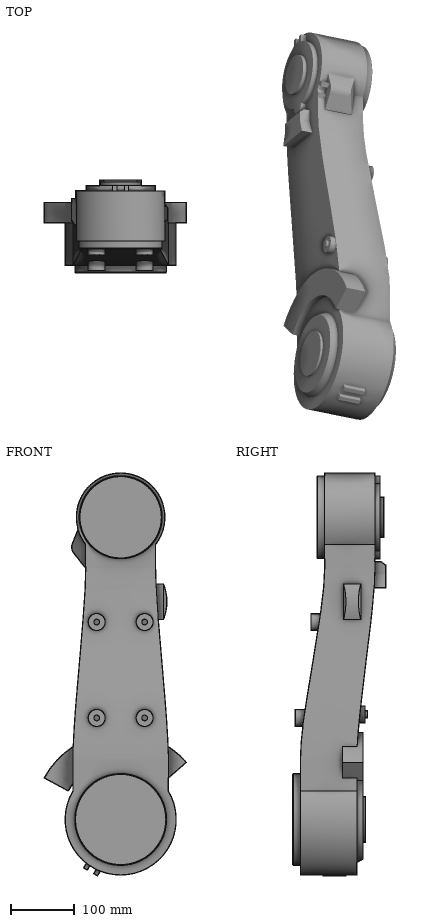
import cadquery as cq
import math


JOINT_SPACING = 475.0
LOWER_RADIUS, LOWER_DEPTH = 87.5, 88.5
UPPER_RADIUS, UPPER_DEPTH = 69.5, 79.0
UPPER_FRONT = 38.0
LOWER_BACK = LOWER_DEPTH
UPPER_BACK = UPPER_FRONT + UPPER_DEPTH

CAP_DEPTH = 12.0
CAP_EDGE = 1.0
LOWER_CAP_RADIUS, UPPER_CAP_RADIUS = 72.0, 65.0

LOWER_FLANGE_DEPTH, UPPER_FLANGE_DEPTH = 10.0, 8.0
LOWER_FLANGE_BASE_RADIUS, LOWER_FLANGE_END_RADIUS = 68.0, 62.0
UPPER_FLANGE_RADIUS = 54.5
LUG_REACH, LUG_RADIUS = 65.0, 12.0
LOWER_BUTTON_RADIUS, LOWER_BUTTON_DEPTH = 36.0, 4.0
UPPER_BUTTON_RADIUS, UPPER_BUTTON_DEPTH = 31.5, 6.0

NECK_LOW_TOP, NECK_HIGH_BOTTOM = 95.0, 394.5
LOWER_NECK_WIDTH, UPPER_NECK_WIDTH = 150.0, 110.0
BEND_SOFTNESS = 0.25

BOSS_RADIUS, BOSS_HOLE_RADIUS, BOSS_HOLE_DEPTH = 13.0, 4.5, 6.5
BOSS_SPACING_X = 75.5
BOSS_ROOT_DEPTH = 38.0
LOWER_BOSS_Z, LOWER_BOSS_FRONT = 159.5, -8.0
UPPER_BOSS_Z, UPPER_BOSS_FRONT = 310.0, 16.5

BACK_BOSS_X, BACK_BOSS_Z, BACK_BOSS_END = -57.0, 165.0, 102.0
BACK_BOSS_ROOT = 25.5
NUB_RADIUS, NUB_DEPTH = 6.0, 4.0

GUIDE_INNER, GUIDE_OUTER = 94.0, 137.0
GUIDE_START, GUIDE_END = 41.0, 151.5
GUIDE_DEPTH = 32.0
GUIDE_BACK = LOWER_BACK + LOWER_FLANGE_DEPTH

FORK_WIDTH, FORK_PRONG, FORK_SLOT_DEPTH = 25.5, 7.0, 9.0
CLIP_DEPTH = 36.0
LOWER_CLIP_TIP, LOWER_CLIP_ANGLE, LOWER_CLIP_FRONT = 95.0, 240.1, 35.5
SIDE_CLIP_TIP, SIDE_CLIP_ANGLE, SIDE_CLIP_FRONT = 80.0, 218.0, 81.5

WEDGE_FRONT, WEDGE_BACK = 52.0, 105.0
WEDGE_NOSE_X, WEDGE_NOSE_Z, WEDGE_NOSE_RADIUS = -79.0, -49.5, 15.0
WEDGE_TOP, WEDGE_BOTTOM = (-67.0, -19.0), (-57.0, -78.0)
WEDGE_ROOT_X = -38.0
WEDGE_SLANT_ANGLE = 190.0
WEDGE_SLANT_START, WEDGE_SLANT_END, WEDGE_SLANT_RISE = 61.0, 88.5, 21.5

PLUG_BOTTOM, PLUG_TOP = 314.0, 370.5
PLUG_FRONT, PLUG_BACK = 68.0, 95.0
PLUG_ROOT_X, PLUG_X, PLUG_NOSE_X = 38.0, 67.0, 73.0
PLUG_NOSE_SLANT = 4.0

BOX_BOTTOM, BOX_SHOULDER, BOX_TOP = 364.0, 385.5, 405.0
BOX_BASE_WIDTH, BOX_TOP_WIDTH = 66.0, 52.0
BOX_DEPTH, BOX_ROOT_DEPTH = 17.0, 12.5
BOX_CHAMFER_Z, BOX_CHAMFER_Y = 6.0, 7.5


def on_plane_at(y):
    """Workplane parallel to XZ at depth y; a negative extrusion runs toward +Y."""
    return cq.Workplane("XZ", origin=(0, y, 0))


def disc(x, z, radius, y_front, y_back):
    return on_plane_at(y_front).center(x, z).circle(radius).extrude(y_front - y_back)


def polar(radius, angle):
    a = math.radians(angle)
    return (radius * math.cos(a), radius * math.sin(a))


def fork(joint_z, angle, tip_radius, y_front, y_back):
    """Radial block with a slot cut into its tip, leaving two prongs."""
    depth = y_back - y_front
    middle = (0, (y_front + y_back) / 2, 0)
    block = cq.Workplane("XY").box(tip_radius, depth, FORK_WIDTH).translate((tip_radius / 2, 0, 0))
    slot_width = FORK_WIDTH - 2 * FORK_PRONG
    slot = cq.Workplane("XY").box(2 * FORK_SLOT_DEPTH, depth, slot_width).translate((tip_radius, 0, 0))
    turned = block.cut(slot).rotate((0, 0, 0), (0, 1, 0), -angle)
    return turned.translate(middle).translate((0, 0, joint_z))


def smooth_outline(plane, low_a, low_b, high_a, high_b, z_low, z_high):
    """Closed outline whose two sides shift from low_a/low_b to high_a/high_b along an S-curve."""
    softness = BEND_SOFTNESS * (NECK_HIGH_BOTTOM - NECK_LOW_TOP)

    def side(low, high):
        return [
            (low, NECK_LOW_TOP),
            (low, NECK_LOW_TOP + softness),
            (high, NECK_HIGH_BOTTOM - softness),
            (high, NECK_HIGH_BOTTOM),
        ]

    return (
        cq.Workplane(plane)
        .moveTo(low_a, z_low)
        .lineTo(low_a, NECK_LOW_TOP)
        .bezier(side(low_a, high_a))
        .lineTo(high_a, z_high)
        .lineTo(high_b, z_high)
        .lineTo(high_b, NECK_HIGH_BOTTOM)
        .bezier(side(low_b, high_b)[::-1])
        .lineTo(low_b, z_low)
        .close()
    )


def arm():
    half_low, half_high = LOWER_NECK_WIDTH / 2, UPPER_NECK_WIDTH / 2
    front = smooth_outline("XZ", -half_low, half_low, -half_high, half_high, 0, JOINT_SPACING)
    side = smooth_outline("YZ", 0, LOWER_BACK, UPPER_FRONT, UPPER_BACK, 0, JOINT_SPACING)
    tapered_in_width = front.extrude(-UPPER_BACK)
    offset_in_depth = side.extrude(LOWER_NECK_WIDTH).translate((-half_low, 0, 0))
    return tapered_in_width.intersect(offset_in_depth)


def hub(z, radius, cap_radius, y_front, y_back):
    body = disc(0, z, radius, y_front, y_back)
    cap = disc(0, z, cap_radius, y_front - CAP_DEPTH, y_front).faces("<Y").edges().chamfer(CAP_EDGE)
    return body.union(cap)


def lower_flange():
    cone = cq.Workplane(cq.Solid.makeCone(
        LOWER_FLANGE_BASE_RADIUS, LOWER_FLANGE_END_RADIUS, LOWER_FLANGE_DEPTH,
        pnt=cq.Vector(0, LOWER_BACK, 0), dir=cq.Vector(0, 1, 0),
    ))
    button_end = LOWER_BACK + LOWER_FLANGE_DEPTH + LOWER_BUTTON_DEPTH
    return cone.union(disc(0, 0, LOWER_BUTTON_RADIUS, LOWER_BACK, button_end))


def upper_flange():
    """Disc with a round lug below, a forked lug above and a button behind."""
    z = JOINT_SPACING
    flange_end = UPPER_BACK + UPPER_FLANGE_DEPTH
    plate = disc(0, z, UPPER_FLANGE_RADIUS, UPPER_BACK, flange_end)
    round_lug = disc(0, z - LUG_REACH + LUG_RADIUS, LUG_RADIUS, UPPER_BACK, flange_end)
    forked_lug = fork(z, 90, LUG_REACH, UPPER_BACK, flange_end)
    button = disc(0, z, UPPER_BUTTON_RADIUS, UPPER_BACK, flange_end + UPPER_BUTTON_DEPTH)
    return plate.union(round_lug).union(forked_lug).union(button)


def front_boss(x, z, y_front):
    boss = disc(x, z, BOSS_RADIUS, y_front, y_front + BOSS_ROOT_DEPTH)
    return boss.cut(disc(x, z, BOSS_HOLE_RADIUS, y_front, y_front + BOSS_HOLE_DEPTH))


def back_boss():
    x, z = BACK_BOSS_X, BACK_BOSS_Z
    boss = disc(x, z, BOSS_RADIUS, BACK_BOSS_END - BACK_BOSS_ROOT, BACK_BOSS_END)
    return boss.union(disc(x, z, NUB_RADIUS, BACK_BOSS_END, BACK_BOSS_END + NUB_DEPTH))


def guide_plate():
    middle = (GUIDE_START + GUIDE_END) / 2
    return (
        on_plane_at(GUIDE_BACK - GUIDE_DEPTH)
        .moveTo(*polar(GUIDE_OUTER, GUIDE_START))
        .threePointArc(polar(GUIDE_OUTER, middle), polar(GUIDE_OUTER, GUIDE_END))
        .lineTo(*polar(GUIDE_INNER, GUIDE_END))
        .threePointArc(polar(GUIDE_INNER, middle), polar(GUIDE_INNER, GUIDE_START))
        .close()
        .extrude(-GUIDE_DEPTH)
    )


def wedge_connector():
    """Rounded wedge beside the upper hub, its front end cut at a slant."""
    wedge = (
        on_plane_at(WEDGE_FRONT)
        .polyline([
            (WEDGE_ROOT_X, WEDGE_TOP[1]),
            WEDGE_TOP,
            (WEDGE_NOSE_X, WEDGE_NOSE_Z),
            WEDGE_BOTTOM,
            (WEDGE_ROOT_X, WEDGE_BOTTOM[1]),
        ])
        .close()
        .extrude(WEDGE_FRONT - WEDGE_BACK)
    )
    wedge = wedge.edges("<X").fillet(WEDGE_NOSE_RADIUS)
    slant = (
        cq.Workplane("XY")
        .polyline([
            (WEDGE_SLANT_START, WEDGE_FRONT),
            (WEDGE_SLANT_END, WEDGE_FRONT),
            (WEDGE_SLANT_END, WEDGE_FRONT + WEDGE_SLANT_RISE),
        ])
        .close()
        .extrude(UPPER_RADIUS, both=True)
        .rotate((0, 0, 0), (0, 1, 0), -WEDGE_SLANT_ANGLE)
    )
    return wedge.cut(slant).translate((0, 0, JOINT_SPACING))


def side_plug():
    """Block with a bulging outer end that narrows in depth."""
    middle = (PLUG_BOTTOM + PLUG_TOP) / 2
    bulged = (
        on_plane_at(PLUG_FRONT)
        .moveTo(PLUG_ROOT_X, PLUG_BOTTOM)
        .lineTo(PLUG_X, PLUG_BOTTOM)
        .threePointArc((PLUG_NOSE_X, middle), (PLUG_X, PLUG_TOP))
        .lineTo(PLUG_ROOT_X, PLUG_TOP)
        .close()
        .extrude(PLUG_FRONT - PLUG_BACK)
    )
    tapered = (
        cq.Workplane("XY", origin=(0, 0, PLUG_BOTTOM))
        .polyline([
            (PLUG_ROOT_X, PLUG_FRONT),
            (PLUG_X, PLUG_FRONT),
            (PLUG_NOSE_X, PLUG_FRONT + PLUG_NOSE_SLANT),
            (PLUG_NOSE_X, PLUG_BACK - PLUG_NOSE_SLANT),
            (PLUG_X, PLUG_BACK),
            (PLUG_ROOT_X, PLUG_BACK),
        ])
        .close()
        .extrude(PLUG_TOP - PLUG_BOTTOM)
    )
    return bulged.intersect(tapered)


def back_box():
    """Connector housing with sloping lower sides and a chamfered upper back edge."""
    base, top = BOX_BASE_WIDTH / 2, BOX_TOP_WIDTH / 2
    y_back = UPPER_BACK + BOX_DEPTH
    y_root = UPPER_BACK - BOX_ROOT_DEPTH
    box = (
        on_plane_at(y_root)
        .polyline([
            (-base, BOX_BOTTOM),
            (-top, BOX_SHOULDER),
            (-top, BOX_TOP),
            (top, BOX_TOP),
            (top, BOX_SHOULDER),
            (base, BOX_BOTTOM),
        ])
        .close()
        .extrude(y_root - y_back)
    )
    corner = (
        cq.Workplane("YZ")
        .polyline([
            (y_back - BOX_CHAMFER_Y, BOX_TOP),
            (y_back, BOX_TOP),
            (y_back, BOX_TOP - BOX_CHAMFER_Z),
        ])
        .close()
        .extrude(base, both=True)
    )
    return box.cut(corner)


result = arm()

result = result.union(hub(0, LOWER_RADIUS, LOWER_CAP_RADIUS, 0, LOWER_BACK))
result = result.union(hub(JOINT_SPACING, UPPER_RADIUS, UPPER_CAP_RADIUS, UPPER_FRONT, UPPER_BACK))

result = result.union(lower_flange())
result = result.union(upper_flange())

for boss_z, boss_front in ((LOWER_BOSS_Z, LOWER_BOSS_FRONT), (UPPER_BOSS_Z, UPPER_BOSS_FRONT)):
    for boss_x in (-BOSS_SPACING_X / 2, BOSS_SPACING_X / 2):
        result = result.union(front_boss(boss_x, boss_z, boss_front))
result = result.union(back_boss())

result = result.union(guide_plate())
result = result.union(wedge_connector())
result = result.union(side_plug())
result = result.union(back_box())

result = result.union(fork(
    0, LOWER_CLIP_ANGLE, LOWER_CLIP_TIP, LOWER_CLIP_FRONT, LOWER_CLIP_FRONT + CLIP_DEPTH,
))
result = result.union(fork(
    JOINT_SPACING, SIDE_CLIP_ANGLE, SIDE_CLIP_TIP, SIDE_CLIP_FRONT, SIDE_CLIP_FRONT + CLIP_DEPTH,
))